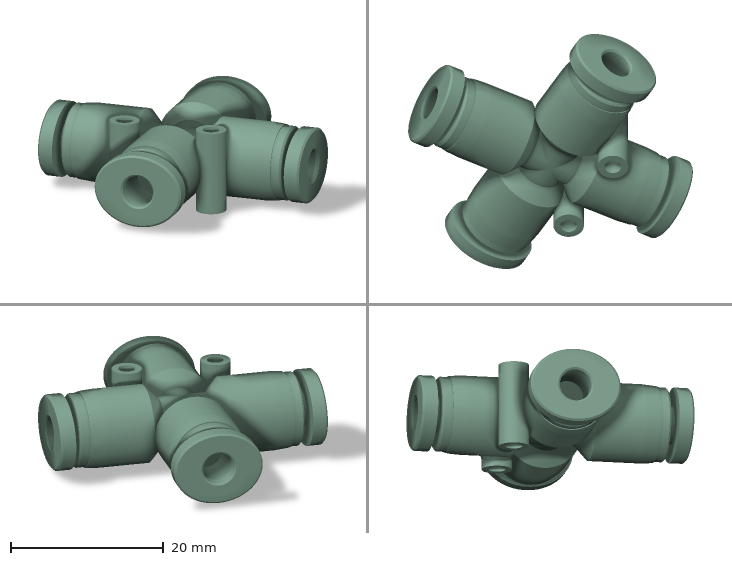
import cadquery as cq
import math

ARM_ANGLES = (0, 90, 180, 270)
overall_length = 36.2

arm_radius = 10.4 / 2
core_radius = 3.33
crown_start = 11.85
crown_end = 13.83
crown_end_radius = 5.03
nose_radius = 9.8 / 2
nose_end = 15.25
edge_chamfer = 0.25

stem_radius = 5.2 / 2
bore_radius = 4.2 / 2
flange_width = 12.0
flange_height = 9.77
flange_thickness = 2.03
sleeve_end = overall_length / 2
flange_back = sleeve_end - flange_thickness
stem_start = crown_start

post_radius = 4.0 / 2
post_hole_radius = 2.2 / 2
post_height = 11.0
post_offset = 6.0


def aim(solid, angle):
    """Turn a shape built along +X to the given arm direction."""
    return solid.rotate((0, 0, 0), (0, 0, 1), angle)


def x_cylinder(radius, start, end):
    """Round bar along X between two distances from the centre."""
    return cq.Workplane("YZ", origin=(start, 0, 0)).circle(radius).extrude(end - start)


def crown_midpoint():
    """Middle point of the shoulder arc that leaves the arm tangentially."""
    length = crown_end - crown_start
    drop = arm_radius - crown_end_radius
    arc_radius = (length**2 + drop**2) / (2 * drop)
    half_angle = math.asin(length / arc_radius) / 2
    return (
        crown_start + arc_radius * math.sin(half_angle),
        arm_radius - arc_radius * (1 - math.cos(half_angle)),
    )


def make_arm():
    """Arm along +X: core, 45 degree cone, barrel, rounded shoulder and nose."""
    profile = (
        cq.Workplane("XY")
        .moveTo(0, 0)
        .lineTo(0, core_radius)
        .lineTo(core_radius, core_radius)
        .lineTo(arm_radius, arm_radius)
        .lineTo(crown_start, arm_radius)
        .threePointArc(crown_midpoint(), (crown_end, crown_end_radius))
        .lineTo(crown_end, nose_radius)
        .lineTo(nose_end - edge_chamfer, nose_radius)
        .lineTo(nose_end, nose_radius - edge_chamfer)
        .lineTo(nose_end, 0)
        .close()
    )
    return profile.revolve(360, (0, 0, 0), (1, 0, 0))


def post_cylinders(radius):
    """Vertical cylinders at both post positions."""
    return (
        cq.Workplane("XY", origin=(0, 0, -post_height / 2))
        .pushPoints([(-post_offset, -post_offset), (post_offset, -post_offset)])
        .circle(radius)
        .extrude(post_height)
    )


def make_housing():
    """Four-way cross with two mounting posts and a blind seat in each arm."""
    arm = make_arm()
    body = arm
    for angle in ARM_ANGLES[1:]:
        body = body.union(aim(arm, angle))
    body = body.union(post_cylinders(post_radius))
    body = body.cut(post_cylinders(post_hole_radius))
    seat = x_cylinder(stem_radius, stem_start, nose_end)
    for angle in ARM_ANGLES:
        body = body.cut(aim(seat, angle))
    return body


def make_sleeve(angle):
    """Release sleeve: tubular stem with an oval push flange."""
    flange = (
        cq.Workplane("YZ", origin=(flange_back, 0, 0))
        .ellipse(flange_width / 2, flange_height / 2)
        .extrude(flange_thickness)
        .faces(">X")
        .chamfer(edge_chamfer)
    )
    sleeve = flange.union(x_cylinder(stem_radius, stem_start, flange_back))
    sleeve = sleeve.cut(x_cylinder(bore_radius, stem_start, sleeve_end))
    sleeve = sleeve.faces(">X").edges("%CIRCLE").chamfer(edge_chamfer)
    return aim(sleeve, angle)


housing = make_housing()
sleeves = [make_sleeve(angle) for angle in ARM_ANGLES]

result = cq.Compound.makeCompound([housing.val(), *[sleeve.val() for sleeve in sleeves]])